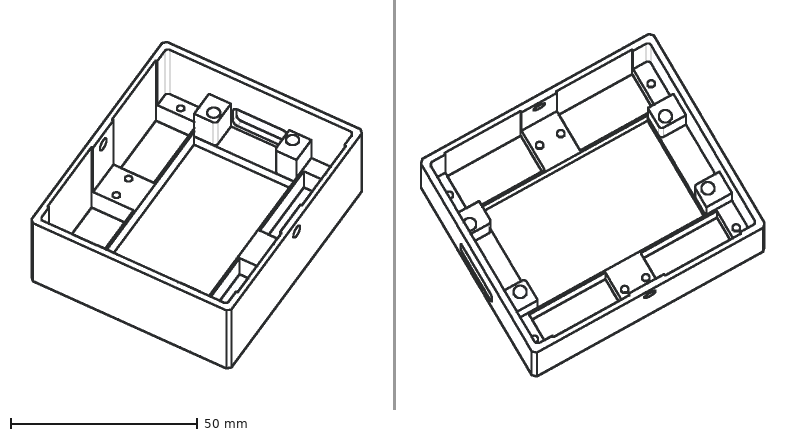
import cadquery as cq

WIDTH = 62.0
LENGTH = 72.0
HEIGHT = 26.0
WALL = 2.0
EDGE_CHAMFER = 1.0
INNER_CORNER_RADIUS = 1.0

BAY_FLOOR_Z = 1.5
SHELF_Z = 5.0
DECK_Z = 7.0
POST_TOP_Z = 14.7

BAY_WIDTH = 31.75
BAY_LENGTH = 52.0

POST_WIDTH = 6.85
POST_SETBACK = 0.1
POST_CORNER_RADIUS = 1.0
POST_HOLE_DIAMETER = 3.5
POST_HOLE_X = 11.5
POST_HOLE_Y = 29.0
SHIFTED_POST_HOLE_Y = 31.5

OPENING_INNER_X = 16.4
OPENING_OUTER_X = 29.45
OPENING_INNER_Y = 5.5
OPENING_OUTER_Y = 29.0
SCREW_HOLE_DIAMETER = 2.0
SCREW_HOLE_X = 23.05
SCREW_HOLE_SPACING = 27.9

WALL_HOLE_DIAMETER = 3.5
WALL_HOLE_DEPTH_BELOW_RIM = 4.5

WINDOW_WIDTH = 16.85
WINDOW_BOTTOM_Z = 6.4
WINDOW_TOP_Z = 13.4
WINDOW_CORNER_RADIUS = 1.45

CAVITY_WIDTH = WIDTH - 2 * WALL
CAVITY_LENGTH = LENGTH - 2 * WALL
SIDES = (-1, 1)


def block(size_x, size_y, bottom_z, top_z, center=(0, 0)):
    """Upright block between two levels, centred on a point in plan."""
    solid = cq.Workplane("XY").box(size_x, size_y, top_z - bottom_z, centered=(True, True, False))
    return solid.translate((center[0], center[1], bottom_z))


def through_holes(diameter, points):
    """Vertical cutters as tall as the box."""
    return cq.Workplane("XY").pushPoints(points).circle(diameter / 2).extrude(HEIGHT)


def open_box():
    """Chamfered box hollowed down to the decks, the end shelves and the central bay."""
    box = block(WIDTH, LENGTH, 0, HEIGHT)
    box = box.edges("|Z").chamfer(EDGE_CHAMFER)
    box = box.faces("<Z").edges().chamfer(EDGE_CHAMFER)
    cavity = block(CAVITY_WIDTH, CAVITY_LENGTH, DECK_Z, HEIGHT)
    cavity = cavity.edges("|Z").fillet(INNER_CORNER_RADIUS)
    shelf_space = block(BAY_WIDTH, CAVITY_LENGTH, SHELF_Z, HEIGHT)
    bay = block(BAY_WIDTH, BAY_LENGTH, BAY_FLOOR_Z, HEIGHT)
    return box.cut(cavity).cut(shelf_space).cut(bay)


def post(side_x, side_y):
    """Post against an end wall, rounded on its corner facing the middle of the bay."""
    inner_y = BAY_LENGTH / 2 + POST_SETBACK
    outer_y = (CAVITY_LENGTH + WALL) / 2
    center_x = side_x * (BAY_WIDTH - POST_WIDTH) / 2
    center_y = side_y * (inner_y + outer_y) / 2
    body = block(POST_WIDTH, outer_y - inner_y, BAY_FLOOR_Z, POST_TOP_Z, (center_x, center_y))
    toward_middle_x = "<X" if side_x > 0 else ">X"
    toward_middle_y = "<Y" if side_y > 0 else ">Y"
    inner_edge = body.edges("|Z").edges(toward_middle_x).edges(toward_middle_y)
    return inner_edge.fillet(POST_CORNER_RADIUS)


def post_holes():
    points = [
        (-POST_HOLE_X, -POST_HOLE_Y),
        (POST_HOLE_X, -POST_HOLE_Y),
        (-POST_HOLE_X, POST_HOLE_Y),
        (POST_HOLE_X, SHIFTED_POST_HOLE_Y),
    ]
    return through_holes(POST_HOLE_DIAMETER, points)


def deck_opening(side_x, side_y):
    """Opening with a screw hole beyond each end; it also relieves the side wall up to the rim."""
    width = OPENING_OUTER_X - OPENING_INNER_X
    length = OPENING_OUTER_Y - OPENING_INNER_Y
    center_x = side_x * (OPENING_INNER_X + OPENING_OUTER_X) / 2
    center_y = side_y * (OPENING_INNER_Y + OPENING_OUTER_Y) / 2
    opening = block(width, length, 0, HEIGHT, (center_x, center_y))
    screw_points = [(side_x * SCREW_HOLE_X, center_y + end * SCREW_HOLE_SPACING / 2) for end in SIDES]
    return opening.union(through_holes(SCREW_HOLE_DIAMETER, screw_points))


def wall_holes():
    hole_z = HEIGHT - WALL_HOLE_DEPTH_BELOW_RIM
    bore = cq.Workplane("YZ").center(0, hole_z).circle(WALL_HOLE_DIAMETER / 2)
    return bore.extrude(WIDTH / 2, both=True)


def end_window():
    center_y = (LENGTH - WALL) / 2
    cutter = block(WINDOW_WIDTH, 2 * WALL, WINDOW_BOTTOM_Z, WINDOW_TOP_Z, (0, center_y))
    return cutter.edges("|Y").fillet(WINDOW_CORNER_RADIUS)


result = open_box()
for x_side in SIDES:
    for y_side in SIDES:
        result = result.union(post(x_side, y_side))
        result = result.cut(deck_opening(x_side, y_side))
result = result.cut(post_holes()).cut(wall_holes()).cut(end_window())